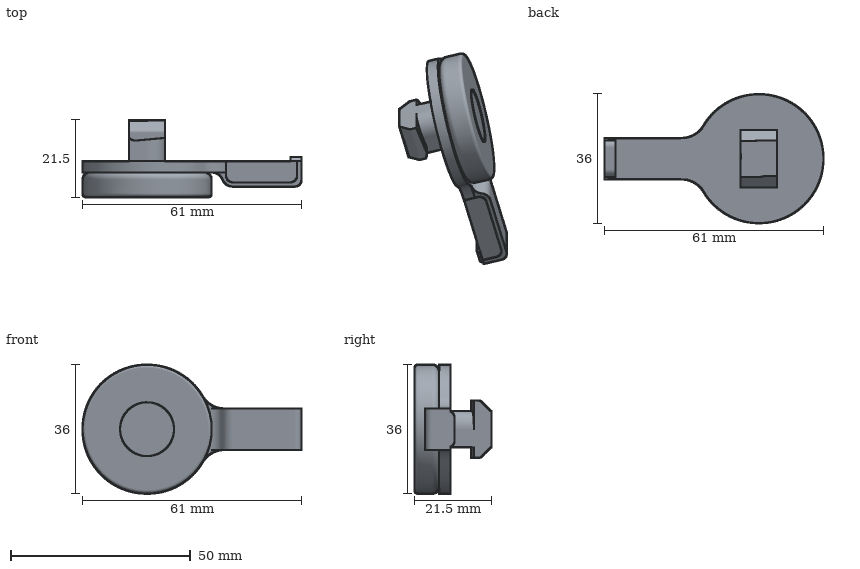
import cadquery as cq
import math

disc_radius = 18.0
flange_thickness = 3.2
disc_depth = 10.05
knob_back_fillet = 1.95
knob_front_fillet = 1.0
recess_diameter = 15.0
recess_depth = 0.2

lever_end_x = 43.0
lever_half_width = 5.8
lever_depth = 7.15
wall = 1.2
crank_radius = 3.2
tip_radius = 1.95
pocket_radius = crank_radius - wall
bend_center_x = 23.9
pocket_depth = 0.2
web_fillet = 6.9

ridge_length = 3.1
ridge_half_width = 5.05
ridge_height = 1.15
ridge_slope_height = 0.55

stem_half_width = 5.05
head_half_length = 8.0
head_back = 11.4
head_chamfer = 3.1
head_edge_fillet = 1.0
head_underside = 6.45
ramp_low_y = 5.75
ramp_low_x = 2.9


def disc():
    flange = cq.Workplane("XZ").circle(disc_radius).extrude(flange_thickness)
    knob = (
        cq.Workplane("XZ", origin=(0, -flange_thickness, 0))
        .circle(disc_radius)
        .extrude(disc_depth - flange_thickness)
        .faces(">Y").edges().fillet(knob_back_fillet)
        .faces("<Y").edges().fillet(knob_front_fillet)
    )
    recess = (
        cq.Workplane("XZ", origin=(0, recess_depth - disc_depth, 0))
        .circle(recess_diameter / 2)
        .extrude(recess_depth)
    )
    return flange.union(knob).cut(recess)


def web():
    """Flange-thick plate that blends the disc into the lever with tangent arcs."""
    fillet_z = lever_half_width + web_fillet
    center_distance = disc_radius + web_fillet
    fillet_x = math.sqrt(center_distance**2 - fillet_z**2)
    touch_x = fillet_x * disc_radius / center_distance
    touch_z = fillet_z * disc_radius / center_distance
    mid_angle = (math.atan2(-fillet_z, -fillet_x) - math.pi / 2) / 2
    mid_x = fillet_x + web_fillet * math.cos(mid_angle)
    mid_z = fillet_z + web_fillet * math.sin(mid_angle)
    return (
        cq.Workplane("XZ")
        .moveTo(0, touch_z)
        .lineTo(touch_x, touch_z)
        .threePointArc((mid_x, mid_z), (fillet_x, lever_half_width))
        .lineTo(fillet_x, -lever_half_width)
        .threePointArc((mid_x, -mid_z), (touch_x, -touch_z))
        .lineTo(0, -touch_z)
        .close()
        .extrude(flange_thickness)
    )


def lever():
    bend_y = crank_radius - lever_depth
    hollow_y = -flange_thickness - crank_radius
    crank_run = math.sqrt((2 * crank_radius)**2 - (bend_y - hollow_y)**2)
    crank_start_x = bend_center_x - crank_run
    inflection = (bend_center_x - crank_run / 2, (bend_y + hollow_y) / 2)
    return (
        cq.Workplane("XY")
        .moveTo(crank_start_x - wall, 0)
        .lineTo(crank_start_x - wall, -flange_thickness)
        .lineTo(crank_start_x, -flange_thickness)
        .tangentArcPoint(inflection, relative=False)
        .tangentArcPoint((bend_center_x, -lever_depth), relative=False)
        .lineTo(lever_end_x - tip_radius, -lever_depth)
        .tangentArcPoint((lever_end_x, tip_radius - lever_depth), relative=False)
        .lineTo(lever_end_x, 0)
        .close()
        .extrude(lever_half_width, both=True)
    )


def pocket(side):
    """Shallow recess in one side of the lever, open at the back; side is +1 or -1."""
    start_x = bend_center_x - pocket_radius
    length = lever_end_x - wall - start_x
    height = lever_depth - wall
    block = (
        cq.Workplane("XY")
        .box(length, height, 2 * pocket_depth)
        .edges("|Z and <Y").fillet(pocket_radius)
    )
    return block.translate((start_x + length / 2, -height / 2, side * lever_half_width))


def ridge():
    """Low bar with 45 degree flanks that run tangent into a rounded crest."""
    slope_z = ridge_half_width - ridge_slope_height
    crest_radius = (ridge_height - ridge_slope_height) / (1 - math.cos(math.pi / 4))
    crest_z = slope_z - crest_radius * math.sin(math.pi / 4)
    return (
        cq.Workplane("YZ", origin=(lever_end_x - ridge_length, 0, 0))
        .moveTo(0, -ridge_half_width)
        .lineTo(ridge_slope_height, -slope_z)
        .tangentArcPoint((ridge_height, -crest_z), relative=False)
        .lineTo(ridge_height, crest_z)
        .tangentArcPoint((ridge_slope_height, slope_z), relative=False)
        .lineTo(0, ridge_half_width)
        .close()
        .extrude(ridge_length)
    )


def stem():
    """Square stem with two opposite corners fully rounded so that it can turn in a slot."""
    half = stem_half_width
    return (
        cq.Workplane("XZ")
        .moveTo(-half, 0)
        .lineTo(-half, half)
        .lineTo(0, half)
        .tangentArcPoint((half, 0), relative=False)
        .lineTo(half, -half)
        .lineTo(0, -half)
        .tangentArcPoint((-half, 0), relative=False)
        .close()
        .extrude(-head_back)
    )


def head():
    """T head; each wing has a clamping ramp below it, one turned 180 degrees from the other."""
    half = stem_half_width
    mid_y = (head_back + head_underside) / 2
    chamfer_foot_y = head_back - head_chamfer - mid_y
    margin = 0.05
    outer_edges = cq.selectors.BoxSelector(
        (-half, chamfer_foot_y - margin, -head_half_length - margin),
        (half, chamfer_foot_y + margin, head_half_length + margin),
    )
    block = (
        cq.Workplane("XY")
        .box(2 * half, head_back - head_underside, 2 * head_half_length)
        .edges("|X and >Y").chamfer(head_chamfer)
        .edges("|X").edges(outer_edges).fillet(head_edge_fillet)
        .translate((0, mid_y, 0))
    )
    ramp = (
        cq.Workplane("XY")
        .moveTo(half, head_underside)
        .lineTo(-ramp_low_x, ramp_low_y)
        .tangentArcPoint((-half, head_underside), relative=False)
        .close()
        .extrude(head_half_length)
    )
    turned_ramp = ramp.rotate((0, 0, 0), (0, 1, 0), 180)
    return block.union(ramp).union(turned_ramp)


result = disc().union(web()).union(lever()).union(ridge())
for side in (1, -1):
    result = result.cut(pocket(side))
result = result.union(stem()).union(head())